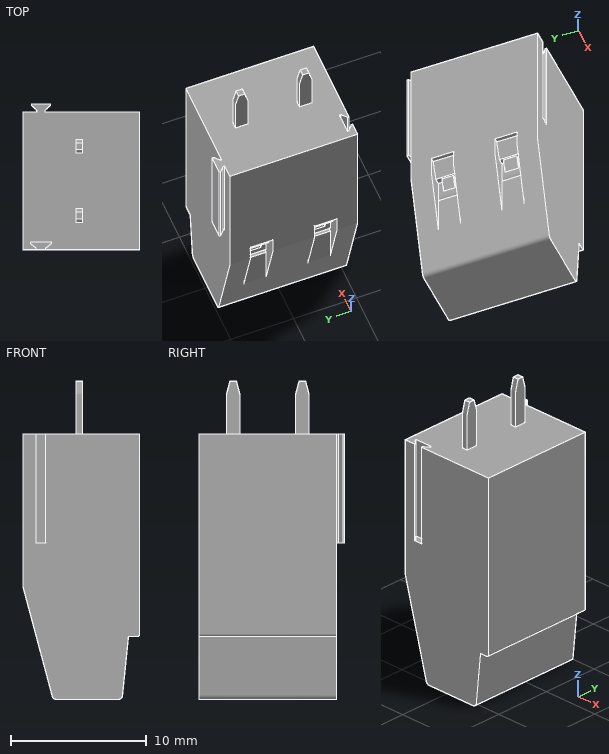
import cadquery as cq
import math


total_height = 23.45
body_depth = 8.6
body_width = 10.15
rib_height = 10.75 - body_width

pin_length = 3.9
body_height = total_height - pin_length
knee_height = 8.32
front_slant = 15
foot_front_x = knee_height * math.tan(math.radians(front_slant))
foot_back_x = 7.32
step_height = 4.65
step_x = 7.79
foot_radius = 0.35
step_radius = 0.19

pole_pitch = 5.1
pole_sides = (-1, 1)

pin_thickness = 0.5
pin_width = 1.0
pin_tip_width = 0.5
pin_tip_length = 0.98
pin_x = 4.15

slot_width = 1.78
slot_top = 9.73
slot_wall_x = 1.31
lip_top_x = 0.35
lip_bottom_x = 0.85
ledge_height = 6.5
clamp_radius = 0.5
clamp_gap = 0.02

tongue_bottom = 7.35
tongue_top_x = 0.98
tongue_near_side = -0.45
tongue_widths = {-1: 1.08, 1: 0.91}

dovetail_x = 1.34
dovetail_length = 8.05
dovetail_lip = 0.12
neck_width = 0.63
rib_width = 1.4
groove_neck_width = 0.7
groove_width = 1.55

overshoot = 0.23


def side_profile():
    """Sketch plane with X and Z axes, extruded symmetrically about Y = 0."""
    return cq.Workplane("XZ")


def make_body():
    outline = [
        (0, body_height),
        (0, knee_height),
        (foot_front_x, 0),
        (foot_back_x, 0),
        (step_x, step_height),
        (body_depth, step_height),
        (body_depth, body_height),
    ]
    body = side_profile().polyline(outline).close().extrude(body_width / 2, both=True)
    body = body.edges("|Y and <Z").fillet(foot_radius)
    step_corner = cq.selectors.NearestToPointSelector((body_depth, 0, step_height))
    return body.edges(step_corner).fillet(step_radius)


def make_slot():
    """Wire slot, open to -X, with a sloping lip above and a rounded clamp over a ledge."""
    clamp_bottom = ledge_height + clamp_gap
    clamp_back_x = slot_wall_x + clamp_radius
    arc_inset = clamp_radius * (1 - math.sqrt(0.5))
    return (
        side_profile()
        .moveTo(-overshoot, slot_top)
        .lineTo(lip_top_x, slot_top)
        .lineTo(lip_bottom_x, knee_height)
        .lineTo(slot_wall_x, knee_height)
        .lineTo(slot_wall_x, clamp_bottom + clamp_radius)
        .threePointArc(
            (slot_wall_x + arc_inset, clamp_bottom + arc_inset),
            (clamp_back_x, clamp_bottom),
        )
        .lineTo(clamp_back_x, ledge_height)
        .lineTo(slot_wall_x, ledge_height)
        .lineTo(slot_wall_x, 0)
        .lineTo(-overshoot, 0)
        .close()
        .extrude(slot_width / 2, both=True)
    )


def make_tongue(width):
    """Wedge that hangs from the lip and runs out into the back wall of the slot."""
    outline = [
        (tongue_top_x, knee_height),
        (slot_wall_x, tongue_bottom),
        (slot_wall_x, knee_height),
    ]
    tongue = side_profile().polyline(outline).close().extrude(-width)
    return tongue.translate((0, tongue_near_side, 0))


def make_pin():
    shoulder = total_height - pin_tip_length
    outline = [
        (-pin_width / 2, body_height),
        (-pin_width / 2, shoulder),
        (-pin_tip_width / 2, total_height),
        (pin_tip_width / 2, total_height),
        (pin_width / 2, shoulder),
        (pin_width / 2, body_height),
    ]
    pin = cq.Workplane("YZ").polyline(outline).close().extrude(pin_thickness / 2, both=True)
    return pin.translate((pin_x, 0, 0))


def make_dovetail(neck, wide, y_base):
    """Dovetail bar hanging from the top of the body, growing from y_base towards +Y."""
    y_tip = y_base + rib_height
    outline = [
        (dovetail_x + neck / 2, y_base),
        (dovetail_x + neck / 2, y_base + dovetail_lip),
        (dovetail_x + wide / 2, y_tip - dovetail_lip),
        (dovetail_x + wide / 2, y_tip),
        (dovetail_x - wide / 2, y_tip),
        (dovetail_x - wide / 2, y_tip - dovetail_lip),
        (dovetail_x - neck / 2, y_base + dovetail_lip),
        (dovetail_x - neck / 2, y_base),
    ]
    bar = cq.Workplane("XY").polyline(outline).close().extrude(-dovetail_length)
    return bar.translate((0, 0, body_height))


result = make_body()
result = result.cut(make_dovetail(groove_neck_width, groove_width, -body_width / 2))
result = result.union(make_dovetail(neck_width, rib_width, body_width / 2))

for side in pole_sides:
    pole = (0, side * pole_pitch / 2, 0)
    result = result.cut(make_slot().translate(pole))
    result = result.union(make_tongue(tongue_widths[side]).translate(pole))
    result = result.union(make_pin().translate(pole))